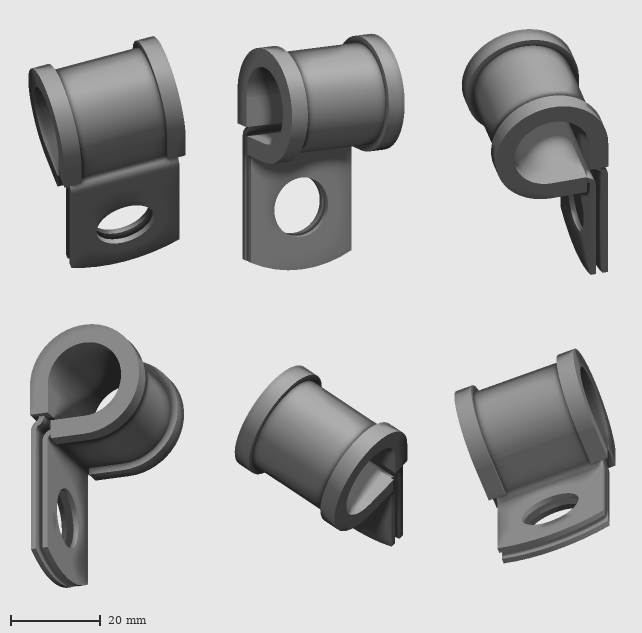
import cadquery as cq
import math

cushion_radius = 13.0
bore_radius = 8.75
cushion_width = 28.5
flange_width = 4.0
upper_lip_z = -6.8
lower_lip_x = 8.15

strap_thickness = 1.2
strap_outer_radius = 11.45
strap_inner_radius = strap_outer_radius - strap_thickness
strap_width = 25.4
bend_inner_radius = 1.25
bend_outer_radius = bend_inner_radius + strap_thickness

outer_tab_face_x = 13.35
tab_tip_z = -41.2
tab_end_rise = 3.0
hole_diameter = 13.55
hole_z = -26.9


def loop_band(inner_radius, outer_radius, width):
    """Open loop with one straight leg down at +X and one straight leg along X at the bottom."""
    def diagonal(radius):
        return (-radius * math.sqrt(0.5), radius * math.sqrt(0.5))

    return (
        cq.Workplane("XZ")
        .moveTo(outer_radius, upper_lip_z)
        .lineTo(outer_radius, 0)
        .threePointArc(diagonal(outer_radius), (0, -outer_radius))
        .lineTo(lower_lip_x, -outer_radius)
        .lineTo(lower_lip_x, -inner_radius)
        .lineTo(0, -inner_radius)
        .threePointArc(diagonal(inner_radius), (inner_radius, 0))
        .lineTo(inner_radius, upper_lip_z)
        .close()
        .extrude(width / 2, both=True)
    )


def point_on_arc(center, radius, degrees):
    angle = math.radians(degrees)
    return (center[0] + radius * math.cos(angle), center[1] + radius * math.sin(angle))


def lower_tab():
    """Quarter bend from the lower leg into a vertical tab."""
    center = (lower_lip_x, -strap_outer_radius - bend_inner_radius)
    return (
        cq.Workplane("XZ")
        .moveTo(lower_lip_x, -strap_inner_radius)
        .threePointArc(
            point_on_arc(center, bend_outer_radius, 45),
            point_on_arc(center, bend_outer_radius, 0),
        )
        .lineTo(center[0] + bend_outer_radius, tab_tip_z)
        .lineTo(center[0] + bend_inner_radius, tab_tip_z)
        .lineTo(center[0] + bend_inner_radius, center[1])
        .threePointArc(
            point_on_arc(center, bend_inner_radius, 45),
            point_on_arc(center, bend_inner_radius, 90),
        )
        .close()
        .extrude(strap_width / 2, both=True)
    )


def upper_tab():
    """Two equal, opposite bends that step the strap outward into a vertical tab."""
    offset = outer_tab_face_x - strap_outer_radius
    radius_sum = bend_inner_radius + bend_outer_radius
    bend = math.degrees(math.acos(1 - offset / radius_sum))
    drop = radius_sum * math.sin(math.radians(bend))
    first = (strap_outer_radius + bend_inner_radius, upper_lip_z)
    second = (outer_tab_face_x - bend_outer_radius, upper_lip_z - drop)
    return (
        cq.Workplane("XZ")
        .moveTo(strap_outer_radius, upper_lip_z)
        .threePointArc(
            point_on_arc(first, bend_inner_radius, 180 + bend / 2),
            point_on_arc(first, bend_inner_radius, 180 + bend),
        )
        .threePointArc(
            point_on_arc(second, bend_outer_radius, bend / 2),
            point_on_arc(second, bend_outer_radius, 0),
        )
        .lineTo(outer_tab_face_x, tab_tip_z)
        .lineTo(outer_tab_face_x - strap_thickness, tab_tip_z)
        .lineTo(outer_tab_face_x - strap_thickness, second[1])
        .threePointArc(
            point_on_arc(second, bend_inner_radius, bend / 2),
            point_on_arc(second, bend_inner_radius, bend),
        )
        .threePointArc(
            point_on_arc(first, bend_outer_radius, 180 + bend / 2),
            point_on_arc(first, bend_outer_radius, 180),
        )
        .close()
        .extrude(strap_width / 2, both=True)
    )


def tab_outline():
    """Tab shape along X: straight sides, bowed end and bolt hole."""
    half_width = strap_width / 2
    outline = (
        cq.Workplane("YZ")
        .moveTo(-half_width, upper_lip_z)
        .lineTo(-half_width, tab_tip_z + tab_end_rise)
        .threePointArc((0, tab_tip_z), (half_width, tab_tip_z + tab_end_rise))
        .lineTo(half_width, upper_lip_z)
        .close()
        .extrude(outer_tab_face_x)
    )
    hole = (
        cq.Workplane("YZ")
        .center(0, hole_z)
        .circle(hole_diameter / 2)
        .extrude(outer_tab_face_x)
    )
    return outline.cut(hole)


result = loop_band(bore_radius, strap_outer_radius, cushion_width)
flange_y = (cushion_width - flange_width) / 2
for side in (-1, 1):
    flange = loop_band(bore_radius, cushion_radius, flange_width)
    result = result.union(flange.translate((0, side * flange_y, 0)))

for tab in (lower_tab(), upper_tab()):
    result = result.union(tab.intersect(tab_outline()))